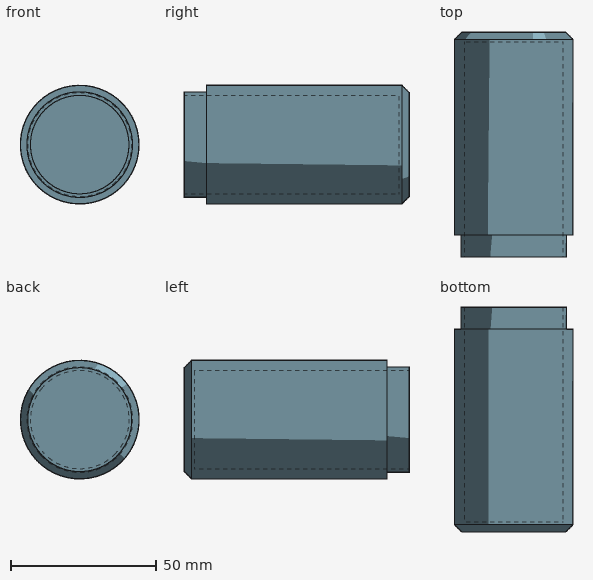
import cadquery as cq

length = 77.5
body_diameter = 40.9

neck_diameter = 36.4
neck_length = 7.6

bore_diameter = 33.9
end_wall = (body_diameter - bore_diameter) / 2
bore_depth = length - end_wall

end_chamfer = 2.55


def cylinder_along_y(diameter, start, height):
    """Solid cylinder on the Y axis, from Y = start towards +Y."""
    base = cq.Workplane("XZ", origin=(0, start, 0))
    return base.circle(diameter / 2).extrude(-height)


body = cylinder_along_y(body_diameter, neck_length, length - neck_length)
body = body.faces(">Y").edges().chamfer(end_chamfer)
neck = cylinder_along_y(neck_diameter, 0, neck_length)
bore = cylinder_along_y(bore_diameter, 0, bore_depth)

result = body.union(neck).cut(bore)